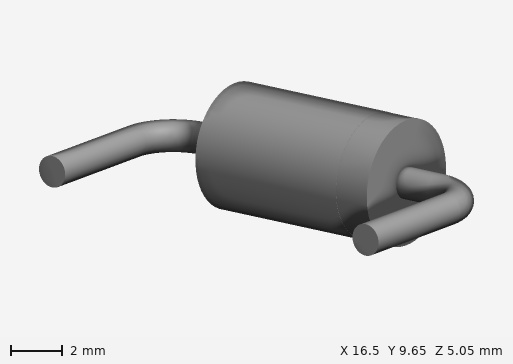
import cadquery as cq

body_diameter = 5.05
body_length = 8.33
band_diameter = 5.03
band_width = 1.37
lip_width = 0.13

wire_diameter = 1.27
lead_pitch = 15.24
bend_radius = 1.905
leg_reach = 7.125

body_start = -body_length / 2
lip_start = body_length / 2 - lip_width
band_start = lip_start - band_width
leg_x = lead_pitch / 2
bend_x = leg_x - bend_radius


def body_section(diameter, start, length):
    """Cylinder along the body axis, from start to start + length."""
    return cq.Workplane("YZ", origin=(start, 0, 0)).circle(diameter / 2).extrude(length)


def make_body():
    """Main cylinder, recessed band and end lip, stacked along X."""
    main = body_section(body_diameter, body_start, band_start - body_start)
    band = body_section(band_diameter, band_start, band_width)
    lip = body_section(body_diameter, lip_start, lip_width)
    return main.union(band).union(lip)


def make_wire():
    """One wire through the body, bent to -Y at both ends."""
    path = (
        cq.Workplane("XY")
        .moveTo(-leg_x, -leg_reach)
        .lineTo(-leg_x, -bend_radius)
        .tangentArcPoint((-bend_x, 0), relative=False)
        .lineTo(bend_x, 0)
        .tangentArcPoint((leg_x, -bend_radius), relative=False)
        .lineTo(leg_x, -leg_reach)
    )
    profile = cq.Workplane("XZ", origin=(-leg_x, -leg_reach, 0)).circle(wire_diameter / 2)
    return profile.sweep(path)


result = make_body().union(make_wire())